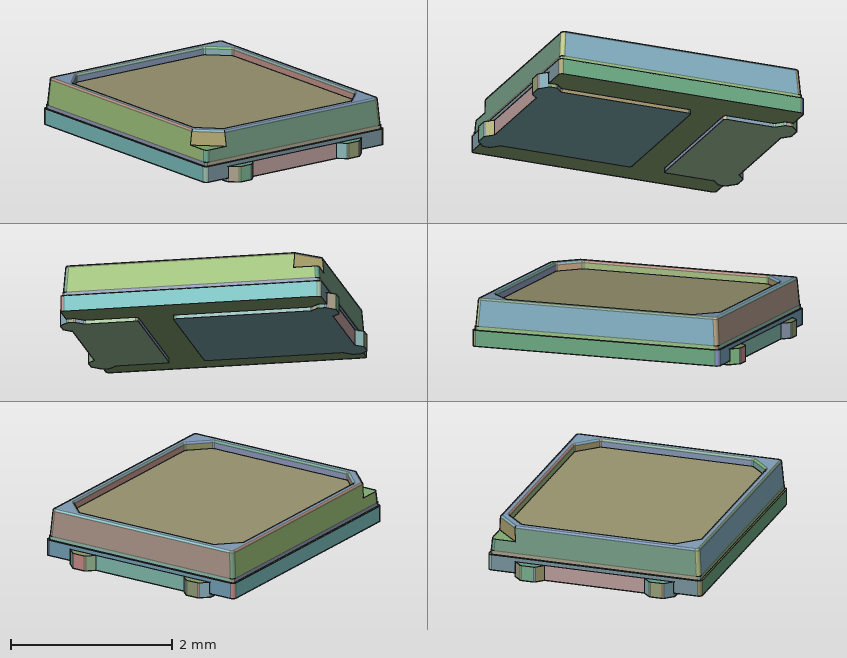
import cadquery as cq

overall_length = 3.5
height = 0.65

base_length = 3.3
base_width = 2.8
base_bottom_z = 0.05
base_top_z = 0.252
base_corner_radius = 0.05
ledge = 0.025
collar_top_z = 0.3
wall_draft = 4.2
wall_corner_radius = 0.05
rim_radius = 0.025

cavity_length = 2.985
cavity_width = 2.51
cavity_chamfer = 0.255
cavity_corner_radius = 0.035
resin_depth = 0.1

notch_leg = 0.39
notch_floor_z = 0.45

lead_thickness = 0.2
lead_half_width = 1.05
pad_half_width = 0.95
flank_outer_x = 1.638
flank_inner_x = 1.54
tab_tip_near_y = 0.752
tab_tip_far_y = 0.935
lead_corner_radius = 0.035
left_pad_end_x = -0.76
right_pad_end_x = -0.315

pick_margin = 0.018


def block(length, width, bottom_z, top_z, taper=0.0):
    """Centred rectangular block, optionally narrowing upwards."""
    return (
        cq.Workplane("XY", origin=(0, 0, bottom_z))
        .rect(length, width)
        .extrude(top_z - bottom_z, taper=taper)
    )


def cavity_prism(bottom_z, top_z):
    """Prism with the octagonal outline of the cavity, its corners slightly rounded."""
    return (
        block(cavity_length, cavity_width, bottom_z, top_z)
        .edges("|Z")
        .chamfer(cavity_chamfer)
        .edges("|Z")
        .fillet(cavity_corner_radius)
    )


def make_lead(side, pad_end_x):
    """Flat lead on one side (-1 or +1 along X): a soldering pad with two tapered tabs.

    The lead is flush with the side of the housing between the tabs, where the tab roots stay sharp.
    """
    tip_x = overall_length / 2
    side_x = base_length / 2
    flank_slope = lead_half_width - pad_half_width
    tab_slope = tip_x - side_x
    root_y = tab_tip_near_y - tab_slope
    tab_roots = cq.selectors.BoxSelector(
        (side * side_x - pick_margin, -root_y - pick_margin, 0),
        (side * side_x + pick_margin, root_y + pick_margin, lead_thickness),
    )
    half_outline = [
        (side * pad_end_x, pad_half_width),
        (flank_inner_x - flank_slope, pad_half_width),
        (flank_inner_x, lead_half_width),
        (flank_outer_x, lead_half_width),
        (tip_x, tab_tip_far_y),
        (tip_x, tab_tip_near_y),
        (side_x, root_y),
    ]
    mirrored_half = [(x, -y) for x, y in reversed(half_outline)]
    outline = [(side * x, y) for x, y in half_outline + mirrored_half]
    return (
        cq.Workplane("XY")
        .polyline(outline)
        .close()
        .extrude(lead_thickness)
        .edges(cq.StringSyntaxSelector("|Z") - tab_roots)
        .fillet(lead_corner_radius)
    )


def make_resin():
    """Clear filling that stands on the leads and stops short of the rim."""
    return cavity_prism(lead_thickness, height - resin_depth)


def make_notch():
    """Triangular cutter that marks one corner of the housing."""
    corner_x = base_length / 2
    corner_y = -base_width / 2
    return (
        cq.Workplane("XY", origin=(0, 0, notch_floor_z))
        .polyline([
            (corner_x, corner_y),
            (corner_x, corner_y + notch_leg),
            (corner_x - notch_leg, corner_y),
        ])
        .close()
        .extrude(height - notch_floor_z)
    )


def make_housing(inserts):
    """Stepped frame with a rounded rim, cut out around the bodies set into it."""
    collar_length = base_length - 2 * ledge
    collar_width = base_width - 2 * ledge
    base = block(base_length, base_width, base_bottom_z, base_top_z)
    base = base.edges("|Z").fillet(base_corner_radius)
    collar = block(collar_length, collar_width, base_top_z, collar_top_z)
    collar = collar.edges("|Z").fillet(base_corner_radius - ledge)
    wall = block(collar_length, collar_width, collar_top_z, height, wall_draft)
    wall = wall.edges("not(#Z)").fillet(wall_corner_radius)
    wall = wall.cut(make_notch())
    wall = wall.faces(">Z").edges().fillet(rim_radius)

    wall = wall.cut(cavity_prism(collar_top_z, height))
    pick_x = cavity_length / 2 + pick_margin
    pick_y = cavity_width / 2 + pick_margin
    mouth_edges = cq.selectors.BoxSelector(
        (-pick_x, -pick_y, height - pick_margin),
        (pick_x, pick_y, height + pick_margin),
        boundingbox=True,
    )
    wall = wall.edges(mouth_edges).fillet(rim_radius)

    housing = base.union(collar).union(wall)
    for insert in inserts:
        housing = housing.cut(insert)
    return housing


leads = [make_lead(-1, left_pad_end_x), make_lead(1, right_pad_end_x)]
resin = make_resin()
housing = make_housing([resin, *leads])

result = cq.Compound.makeCompound([housing.val(), resin.val(), *[lead.val() for lead in leads]])